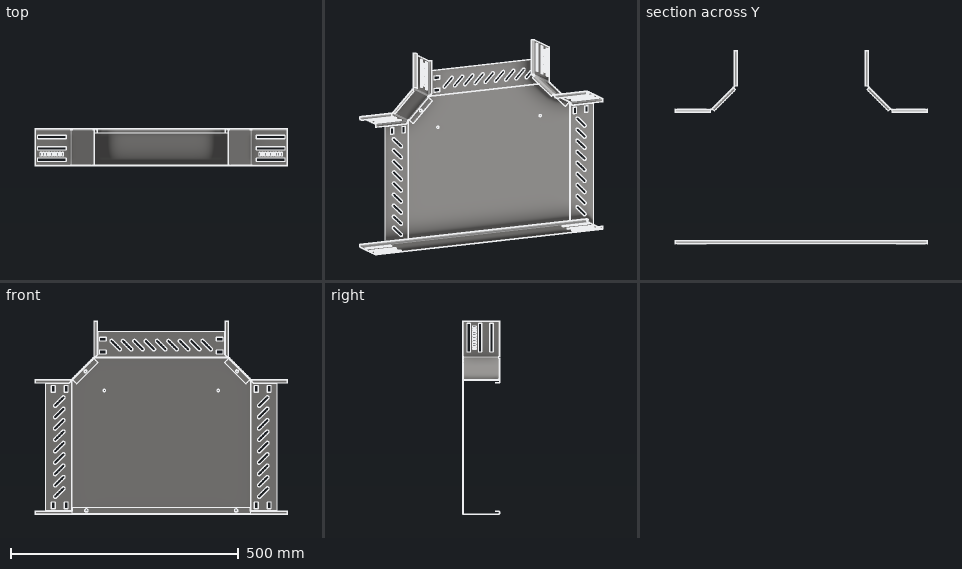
import cadquery as cq
import math

sheet = 1.2
depth = 82.0
tray_width = 296.0
corner_leg = 50.0
arm_length = 79.0
fold_radius = 1.0
front_radius = 2.0
rear_radius = 3.0

flange_width = 7.5
tab_width = 15.0
return_length = 10.0
fold_gap = 2.3
arm_fold_gap = 1.0
arm_flange_chamfer = 4.0
rail_tab_half = 195.0

long_slot_length = 62.5
slot_width = 7.0
slot_pitch = 25.0
slot_row_offset = -2.5
long_slot_count = 3
slot_from_end = 36.5
short_slot_count = 9
short_slot_pitch = 6.0
short_slot_width = 3.0
short_slot_height = 8.0

plate_clearance = front_radius
step_inset = 0.5
tongue_length = 56.5
tongue_flare = 4.5
tongue_gap = 0.5
oblique_slot_count = 9
oblique_slot_length = 32.5
oblique_slot_middle = 26.0
square_slot_middle = 25.0
square_slot_length = 14.3
square_slot_width = 8.0
square_slot_spread = 28.25
square_slot_offset = 128.0

rail_screw_diameter = 7.0
corner_screw_diameter = 6.0
screw_inset = 8.75
rail_screw_x = 164.5
pilot_diameter = 5.0
pilot_x = 125.0
pilot_z = 272.5

half_depth = depth / 2
half_width = tray_width / 2
step_x = half_width + corner_leg
step_z = tray_width + corner_leg
end_x = step_x + arm_length
end_z = step_z + arm_length
front_inner_radius = front_radius - sheet
rear_inner_radius = rear_radius - sheet
plate_front = -half_depth + sheet
diagonal_length = corner_leg * math.sqrt(2)
diagonal_inset = screw_inset / math.sqrt(2)
diagonal_screw_x = half_width + corner_leg / 2 - diagonal_inset
diagonal_screw_z = tray_width + corner_leg / 2 - diagonal_inset


def bend_middle(center_y, center_in, radius, y_side, in_side):
    """Middle point of a quarter bend, given as (Y, distance inward from the wall's outer face)."""
    reach = radius / math.sqrt(2)
    return center_y + y_side * reach, center_in + in_side * reach


def edge_plane(start, direction):
    """Cross-section plane of a wall: local x is Y, local y points inward from the outer face."""
    return cq.Plane(origin=(start[0], 0, start[1]), xDir=(0, 1, 0), normal=(direction[0], 0, direction[1]))


def along(start, direction, distance):
    return start[0] + direction[0] * distance, start[1] + direction[1] * distance


def front_flange(start, direction, length, width):
    """Bend and flat flange on the front edge of a wall."""
    center_y = -half_depth + front_radius
    return (
        cq.Workplane(edge_plane(start, direction))
        .moveTo(center_y, 0)
        .threePointArc(bend_middle(center_y, front_radius, front_radius, -1, -1), (-half_depth, front_radius))
        .lineTo(-half_depth, width)
        .lineTo(plate_front, width)
        .lineTo(plate_front, front_radius)
        .threePointArc(bend_middle(center_y, front_radius, front_inner_radius, -1, -1), (center_y, sheet))
        .close()
        .extrude(length)
    )


def rear_lip(start, direction, length):
    """Bend and flat lip on the rear edge of a wall."""
    center_y = half_depth - rear_radius
    return (
        cq.Workplane(edge_plane(start, direction))
        .moveTo(center_y, 0)
        .threePointArc(bend_middle(center_y, rear_radius, rear_radius, 1, -1), (half_depth, rear_radius))
        .lineTo(half_depth, flange_width)
        .lineTo(half_depth - sheet, flange_width)
        .lineTo(half_depth - sheet, rear_radius)
        .threePointArc(bend_middle(center_y, rear_radius, rear_inner_radius, 1, -1), (center_y, sheet))
        .close()
        .extrude(length)
    )


def rear_return_lip(start, direction, length):
    """Bend, lip and inward return on the rear edge of a wall."""
    center_y = half_depth - rear_radius
    lip_in = flange_width - rear_radius
    return (
        cq.Workplane(edge_plane(start, direction))
        .moveTo(center_y, 0)
        .threePointArc(bend_middle(center_y, rear_radius, rear_radius, 1, -1), (half_depth, rear_radius))
        .lineTo(half_depth, lip_in)
        .threePointArc(bend_middle(center_y, lip_in, rear_radius, 1, 1), (center_y, flange_width))
        .lineTo(half_depth - return_length, flange_width)
        .lineTo(half_depth - return_length, flange_width - sheet)
        .lineTo(center_y, flange_width - sheet)
        .threePointArc(bend_middle(center_y, lip_in, rear_inner_radius, 1, 1), (half_depth - sheet, lip_in))
        .lineTo(half_depth - sheet, rear_radius)
        .threePointArc(bend_middle(center_y, rear_radius, rear_inner_radius, 1, -1), (center_y, sheet))
        .close()
        .extrude(length)
    )


def wall_web(outer_points, inner_points):
    """Flat or folded web between the front and rear bends, from its outer and inner X-Z paths."""
    web_front = -half_depth + front_radius
    web_depth = depth - front_radius - rear_radius
    return (
        cq.Workplane("XZ", origin=(0, web_front, 0))
        .polyline(outer_points + inner_points[::-1])
        .close()
        .extrude(-web_depth)
    )


def round_fold(web, fold, radius):
    """Round the fold edge of a web that runs along Y through the given X-Z point."""
    middle_y = (front_radius - rear_radius) / 2
    fold_edge = cq.selectors.NearestToPointSelector((fold[0], middle_y, fold[1]))
    return web.edges("|Y").edges(fold_edge).fillet(radius)


def arm_slots(arm_end, direction):
    """Cutter for the long and short slots of one arm; direction runs from its end inward."""
    plane = cq.Plane(
        origin=(arm_end[0], 0, arm_end[1]),
        xDir=(direction[0], 0, direction[1]),
        normal=(-direction[1], 0, direction[0]),
    )
    rows = cq.Workplane(plane).center(slot_from_end, slot_row_offset)
    long_slots = (
        rows.rarray(1, slot_pitch, 1, long_slot_count)
        .rect(long_slot_length, slot_width)
        .extrude(2 * sheet, both=True)
    )
    short_slots = (
        cq.Workplane(plane)
        .center(slot_from_end, slot_row_offset - slot_pitch / 2)
        .rarray(short_slot_pitch, 1, short_slot_count, 1)
        .rect(short_slot_width, short_slot_height)
        .extrude(2 * sheet, both=True)
    )
    return long_slots.add(short_slots).combine()


def round_holes(points, diameter):
    """Cutter along Y through the front flange and the base plate."""
    return (
        cq.Workplane("XZ", origin=(0, -half_depth, 0))
        .pushPoints(points)
        .circle(diameter / 2)
        .extrude(3 * sheet, both=True)
    )


def make_side_rail():
    right = (1, 0)
    start = (-end_x, 0)
    web = wall_web([start, (end_x, 0)], [(-end_x, sheet), (end_x, sheet)])
    rail = (
        web.union(front_flange(start, right, 2 * end_x, flange_width))
        .union(front_flange((-rail_tab_half, 0), right, 2 * rail_tab_half, tab_width))
        .union(rear_return_lip(start, right, 2 * end_x))
    )
    for side in (-1, 1):
        rail = rail.cut(arm_slots((side * end_x, 0), (-side, 0)))
    screws = [(-rail_screw_x, screw_inset), (rail_screw_x, screw_inset)]
    return rail.cut(round_holes(screws, rail_screw_diameter))


def make_left_corner():
    down = (0, -1)
    slant = (-math.sqrt(0.5), -math.sqrt(0.5))
    left = (-1, 0)
    upright_end = (-half_width, end_z)
    upper_fold = (-half_width, step_z)
    lower_fold = (-step_x, tray_width)
    level_end = (-end_x, tray_width)

    mitre = sheet * math.tan(math.pi / 8)
    inner_path = [
        (-half_width + sheet, end_z),
        (-half_width + sheet, step_z - mitre),
        (-step_x + mitre, tray_width - sheet),
        (-end_x, tray_width - sheet),
    ]
    corner = wall_web([upright_end, upper_fold, lower_fold, level_end], inner_path)
    corner = round_fold(corner, upper_fold, fold_radius)
    corner = round_fold(corner, lower_fold, fold_radius)
    corner = round_fold(corner, inner_path[1], fold_radius + sheet)
    corner = round_fold(corner, inner_path[2], fold_radius + sheet)

    arm_edge_length = arm_length - arm_fold_gap
    level_start = along(lower_fold, left, arm_fold_gap)
    upright_flange = (
        front_flange(upright_end, down, arm_edge_length, flange_width)
        .edges("|Y and >X and <Z")
        .chamfer(arm_flange_chamfer)
    )
    level_flange = (
        front_flange(level_start, left, arm_edge_length, flange_width)
        .edges("|Y and >X and <Z")
        .chamfer(arm_flange_chamfer)
    )
    slant_start = along(upper_fold, slant, fold_gap)
    slant_length = diagonal_length - 2 * fold_gap
    pieces = [
        upright_flange,
        level_flange,
        front_flange(slant_start, slant, slant_length, tab_width),
        rear_return_lip(upright_end, down, arm_edge_length),
        rear_lip(slant_start, slant, slant_length),
        rear_return_lip(level_start, left, arm_edge_length),
    ]
    for piece in pieces:
        corner = corner.union(piece)

    corner = corner.cut(arm_slots(upright_end, down)).cut(arm_slots(level_end, (1, 0)))
    return corner.cut(round_holes([(-diagonal_screw_x, diagonal_screw_z)], corner_screw_diameter))


def make_tongue(flared_sides):
    """Tongue along +Z from the wall fold line at Z = 0, with a sloped step, flush with the front flanges.

    Its root widens on the given sides, -1 for -X and 1 for +X.
    """
    half_tongue = half_width - flange_width - tongue_gap
    half_root = half_tongue + tongue_flare
    plate_back = plate_front + sheet
    step_end = -step_inset - sheet
    tongue = (
        cq.Workplane("YZ", origin=(-half_root, 0, 0))
        .polyline([
            (-half_depth, -step_inset),
            (-half_depth, tongue_length),
            (plate_front, tongue_length),
            (plate_front, -step_inset),
            (plate_back, step_end),
            (plate_front, step_end),
        ])
        .close()
        .extrude(2 * half_root)
    )
    left_root = half_root if -1 in flared_sides else half_tongue
    right_root = half_root if 1 in flared_sides else half_tongue
    left_edge = [(-left_root, step_end), (-left_root, 0), (-half_tongue, tongue_length)]
    right_edge = [(half_tongue, tongue_length), (right_root, 0), (right_root, step_end)]
    if -1 in flared_sides:
        left_edge.insert(2, (-half_tongue, tongue_flare))
    if 1 in flared_sides:
        right_edge.insert(1, (half_tongue, tongue_flare))
    silhouette = (
        cq.Workplane("XZ")
        .polyline(left_edge + right_edge)
        .close()
        .extrude(depth, both=True)
    )
    face = cq.Workplane("XZ", origin=(0, -half_depth, 0))
    oblique_slots = (
        face.center(0, oblique_slot_middle)
        .rarray(slot_pitch, 1, oblique_slot_count, 1)
        .slot2D(oblique_slot_length, slot_width, -45)
        .extrude(2 * sheet, both=True)
    )
    end_slots = (
        face.center(0, square_slot_middle)
        .rarray(2 * square_slot_offset, square_slot_spread, 2, 2)
        .rect(square_slot_length, square_slot_width)
        .extrude(2 * sheet, both=True)
    )
    return tongue.intersect(silhouette).cut(oblique_slots).cut(end_slots)


def make_base_plate():
    flat_x = step_x - step_inset - sheet
    flat_top = step_z - step_inset - sheet
    shoulder_x = half_width - plate_clearance
    shoulder_z = tray_width - plate_clearance
    outline = [
        (-flat_x, plate_clearance),
        (flat_x, plate_clearance),
        (flat_x, shoulder_z),
        (shoulder_x, flat_top),
        (-shoulder_x, flat_top),
        (-flat_x, shoulder_z),
    ]
    plate = (
        cq.Workplane("XZ", origin=(0, plate_front, 0))
        .polyline(outline)
        .close()
        .extrude(-sheet)
    )
    tongue_places = [
        (0, (0, 0, step_z), (-1, 1)),
        (-90, (-step_x, 0, half_width), (1,)),
        (90, (step_x, 0, half_width), (-1,)),
    ]
    for angle, place, flared_sides in tongue_places:
        tongue = make_tongue(flared_sides).rotate((0, 0, 0), (0, 1, 0), angle)
        plate = plate.union(tongue.translate(place))
    for side in (-1, 1):
        rail_screw = round_holes([(side * rail_screw_x, screw_inset)], rail_screw_diameter)
        corner_screw = round_holes([(side * diagonal_screw_x, diagonal_screw_z)], corner_screw_diameter)
        pilot = round_holes([(side * pilot_x, pilot_z)], pilot_diameter)
        plate = plate.cut(rail_screw).cut(corner_screw).cut(pilot)
    return plate


base_plate = make_base_plate()
side_rail = make_side_rail()
corners = []
for mirrored in (False, True):
    corner = make_left_corner()
    if mirrored:
        corner = corner.mirror("YZ")
    corners.append(corner.val())

result = cq.Compound.makeCompound([base_plate.val(), side_rail.val(), *corners])